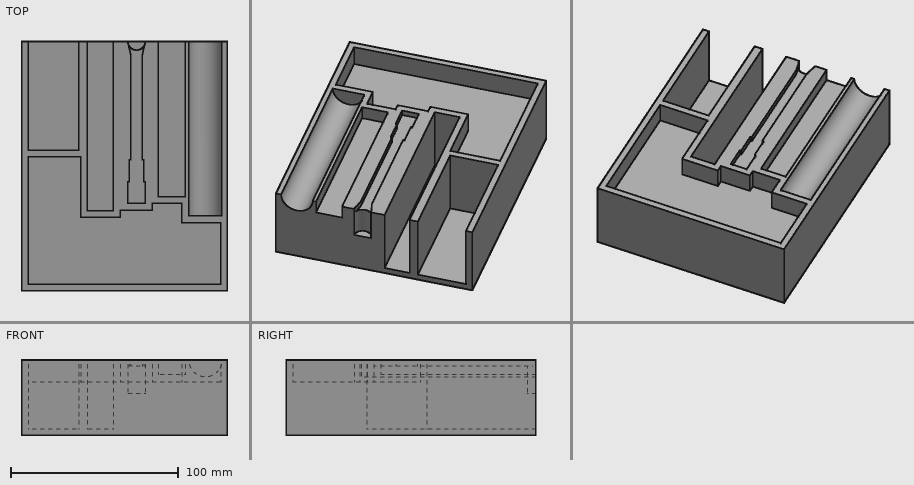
import cadquery as cq

LENGTH_X = 122.82
LENGTH_Y = 148.97
HEIGHT = 45.0
WALL = 4.0

LEFT_BAY_WIDTH = 30.0
LEFT_BAY_LENGTH = 65.0
DEEP_BAY_DEPTH = HEIGHT - WALL

DEEP_SLOT_LEFT = 39.2
DEEP_SLOT_WIDTH = 15.6
DEEP_SLOT_LENGTH = 101.0

GROOVE_LENGTH = 96.7
GROOVE_CENTER = 68.6
GROOVE_DEPTH = 3.5
SHANK_WIDTH = 7.0
COLLAR_WIDTH = 8.8
HANDLE_WIDTH = 10.5
FLARE_LENGTH = 8.0
STEP_LENGTH = 13.0

FINGER_WELL_DEPTH = 20.0

SHALLOW_SLOT_LEFT = 81.4
SHALLOW_SLOT_WIDTH = 16.2
SHALLOW_SLOT_LENGTH = 92.6
SHALLOW_SLOT_DEPTH = 8.5

TROUGH_LEFT = 99.7
TROUGH_RADIUS = 9.9
TROUGH_LENGTH = 104.2

TRAY_DEPTH = 13.0


def box_from_back(left, width, length, depth):
    """Rectangular box running from the back face towards the front and down from the top face."""
    return cq.Workplane("XY").box(width, length, depth, centered=False).translate((left, -length, -depth))


def tool_groove():
    """Groove cutter: flared mouth, narrow shank, collar and handle end."""
    collar_start = GROOVE_LENGTH - 2 * STEP_LENGTH
    handle_start = GROOVE_LENGTH - STEP_LENGTH
    right_side = [
        (HANDLE_WIDTH / 2, 0),
        (SHANK_WIDTH / 2, -FLARE_LENGTH),
        (SHANK_WIDTH / 2, -collar_start),
        (COLLAR_WIDTH / 2, -collar_start),
        (COLLAR_WIDTH / 2, -handle_start),
        (HANDLE_WIDTH / 2, -handle_start),
        (HANDLE_WIDTH / 2, -GROOVE_LENGTH),
    ]
    left_side = [(-x, y) for x, y in reversed(right_side)]
    outline = cq.Workplane("XY").polyline(right_side + left_side).close()
    return outline.extrude(-GROOVE_DEPTH).translate((GROOVE_CENTER, 0, 0))


def finger_well():
    """Vertical cylinder centred on the back face, leaving a half-round recess."""
    return cq.Workplane("XY").center(GROOVE_CENTER, 0).circle(HANDLE_WIDTH / 2).extrude(-FINGER_WELL_DEPTH)


def trough():
    """Cylinder along Y, half of it sunk below the top face."""
    profile = cq.Workplane("XZ").center(TROUGH_LEFT + TROUGH_RADIUS, 0).circle(TROUGH_RADIUS)
    return profile.extrude(TROUGH_LENGTH)


def front_tray():
    """Tray cutter whose stepped back edge keeps one wall from each bay."""
    left = WALL
    right = LENGTH_X - WALL
    front = WALL - LENGTH_Y
    slot_side = DEEP_SLOT_LEFT - WALL
    groove_left = DEEP_SLOT_LEFT + DEEP_SLOT_WIDTH + WALL
    groove_right = GROOVE_CENTER + HANDLE_WIDTH / 2 + WALL
    trough_side = TROUGH_LEFT - WALL
    bay_end = -LEFT_BAY_LENGTH - WALL
    deep_slot_end = -DEEP_SLOT_LENGTH - WALL
    groove_end = -GROOVE_LENGTH - WALL
    shallow_slot_end = -SHALLOW_SLOT_LENGTH - WALL
    trough_end = -TROUGH_LENGTH - WALL
    outline = [
        (left, front),
        (left, bay_end),
        (slot_side, bay_end),
        (slot_side, deep_slot_end),
        (groove_left, deep_slot_end),
        (groove_left, groove_end),
        (groove_right, groove_end),
        (groove_right, shallow_slot_end),
        (trough_side, shallow_slot_end),
        (trough_side, trough_end),
        (right, trough_end),
        (right, front),
    ]
    return cq.Workplane("XY").polyline(outline).close().extrude(-TRAY_DEPTH)


def block():
    """Solid outer block with its top face on Z = 0 and its back face on Y = 0."""
    return box_from_back(0, LENGTH_X, LENGTH_Y, HEIGHT)


cutters = [
    box_from_back(WALL, LEFT_BAY_WIDTH, LEFT_BAY_LENGTH, DEEP_BAY_DEPTH),
    box_from_back(DEEP_SLOT_LEFT, DEEP_SLOT_WIDTH, DEEP_SLOT_LENGTH, DEEP_BAY_DEPTH),
    box_from_back(SHALLOW_SLOT_LEFT, SHALLOW_SLOT_WIDTH, SHALLOW_SLOT_LENGTH, SHALLOW_SLOT_DEPTH),
    tool_groove(),
    finger_well(),
    trough(),
    front_tray(),
]
result = block()
for cutter in cutters:
    result = result.cut(cutter)